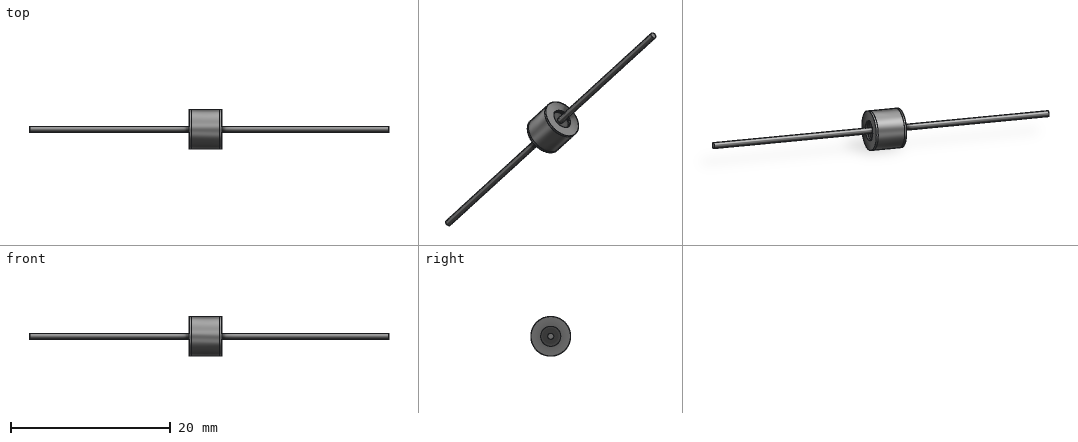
import cadquery as cq

overall_length = 45.0
body_diameter = 5.0
body_length = 4.1
left_lead_length = 20.0
right_lead_length = overall_length - body_length - left_lead_length
lead_diameter = 0.75

ring_thickness = 0.25
recess_diameter = 2.5
recess_depth = 0.5

left_face = -body_length / 2
right_face = body_length / 2
core_length = body_length - 2 * ring_thickness


def axial_cylinder(diameter, start, length):
    """Cylinder on the X axis, running from start towards +X."""
    return cq.Workplane("YZ", origin=(start, 0, 0)).circle(diameter / 2).extrude(length)


def make_core():
    """Cylinder recessed at both ends, with the leads standing on the recess floors."""
    core = axial_cylinder(body_diameter, -core_length / 2, core_length)
    for recess_start in (left_face, right_face - recess_depth):
        core = core.cut(axial_cylinder(recess_diameter, recess_start, recess_depth))
    left_lead = axial_cylinder(lead_diameter, left_face - left_lead_length, left_lead_length + recess_depth)
    right_lead = axial_cylinder(lead_diameter, right_face - recess_depth, right_lead_length + recess_depth)
    return core.union(left_lead).union(right_lead)


def make_end_ring(start):
    """Flat ring whose bore continues the recess of the core."""
    bore = axial_cylinder(recess_diameter, start, ring_thickness)
    return axial_cylinder(body_diameter, start, ring_thickness).cut(bore)


core = make_core()
end_rings = [make_end_ring(start).val() for start in (left_face, right_face - ring_thickness)]

result = cq.Compound.makeCompound([core.val(), *end_rings])